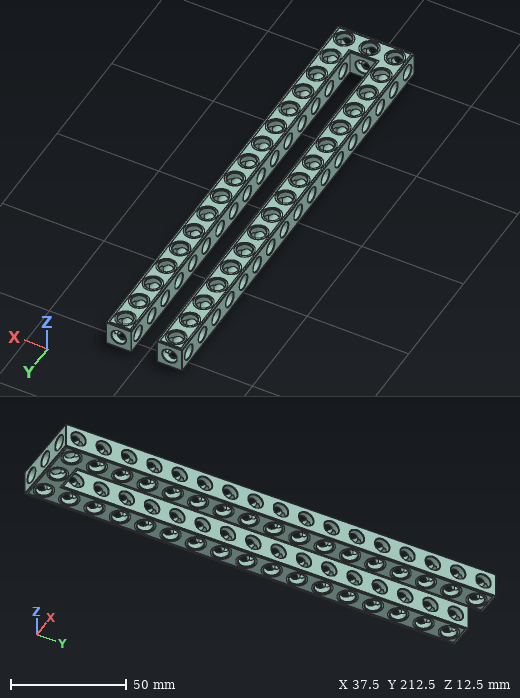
import cadquery as cq

pitch = 12.5
cells_across = 3
cells_along = 17
slot_column = 1

width = cells_across * pitch
length = cells_along * pitch
height = pitch
slot_length = length - pitch

hole_diameter = 7.0
edge_break = 0.3

rim_diameter = 9.2
rim_width = (rim_diameter - hole_diameter) / 2
recess_depth = 0.2

columns = [(i - (cells_across - 1) / 2) * pitch for i in range(cells_across)]
rows = [(j - (cells_along - 1) / 2) * pitch for j in range(cells_along)]
arm_columns = [x for i, x in enumerate(columns) if i != slot_column]
slot_x = columns[slot_column]
crosspiece_y = rows[0]
cell_centers = [(x, y) for x in arm_columns for y in rows] + [(slot_x, crosspiece_y)]


def u_outline(inset):
    """U-shaped plan outline, open towards +Y, shrunk inward by `inset`."""
    outer_x = width / 2 - inset
    inner_x = pitch / 2 + inset
    end_y = length / 2 - inset
    slot_bottom_y = length / 2 - slot_length - inset
    return cq.Workplane("XY").polyline([
        (-outer_x, -end_y),
        (outer_x, -end_y),
        (outer_x, end_y),
        (inner_x, end_y),
        (inner_x, slot_bottom_y),
        (-inner_x, slot_bottom_y),
        (-inner_x, end_y),
        (-outer_x, end_y),
    ]).close()


def make_body():
    """Solid U with its outer edges chamfered; the inner slot corners stay sharp."""
    body = u_outline(0).extrude(height / 2, both=True)
    face_edges = body.faces("<Z or >Z").edges().vals()
    outer_corners = body.edges("|Z").edges("<X or >X or >Y").vals()
    return body.newObject(face_edges + outer_corners).chamfer(edge_break)


def cut_recesses(body):
    """Sink the flat between the rims into the top and bottom faces."""
    rims = cq.Workplane("XY").pushPoints(cell_centers).circle(rim_diameter / 2).extrude(recess_depth)
    recess = u_outline(rim_width).extrude(recess_depth).cut(rims)
    top_recess = recess.translate((0, 0, height / 2 - recess_depth))
    return body.cut(top_recess).cut(top_recess.mirror("XY"))


def hole_cutter(span):
    """Z-axis hole through a `span` of material, chamfered at both mouths."""
    mouth = span / 2
    radius = hole_diameter / 2
    profile = cq.Workplane("XZ").polyline([
        (0, -mouth),
        (radius + edge_break, -mouth),
        (radius, -mouth + edge_break),
        (radius, mouth - edge_break),
        (radius + edge_break, mouth),
        (0, mouth),
    ]).close()
    return profile.revolve(360, (0, 0), (0, 1))


def cut_at(body, cutter, points):
    """Cut a copy of `cutter` at each plan position."""
    for x, y in points:
        body = body.cut(cutter.translate((x, y, 0)))
    return body


def cut_vertical_holes(body):
    """One Z hole in every cell."""
    return cut_at(body, hole_cutter(height), cell_centers)


def cut_crosswise_holes(body):
    """X holes through each arm, and one across the whole crosspiece."""
    through_arm = hole_cutter(pitch).rotate((0, 0, 0), (0, 1, 0), 90)
    through_crosspiece = hole_cutter(width).rotate((0, 0, 0), (0, 1, 0), 90)
    body = cut_at(body, through_arm, [(x, y) for x in arm_columns for y in rows[1:]])
    return cut_at(body, through_crosspiece, [(slot_x, crosspiece_y)])


def cut_lengthwise_holes(body):
    """Y holes along each arm, and one from the front face into the slot."""
    along_arm = hole_cutter(length).rotate((0, 0, 0), (1, 0, 0), 90)
    into_slot = hole_cutter(pitch).rotate((0, 0, 0), (1, 0, 0), 90)
    body = cut_at(body, along_arm, [(x, 0) for x in arm_columns])
    return cut_at(body, into_slot, [(slot_x, crosspiece_y)])


result = cut_recesses(make_body())
result = cut_vertical_holes(result)
result = cut_crosswise_holes(result)
result = cut_lengthwise_holes(result)